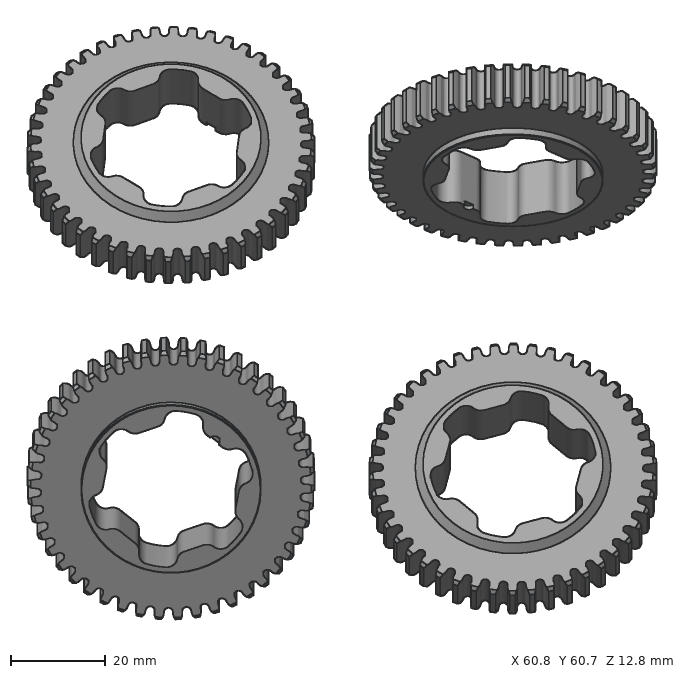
import cadquery as cq
import math

tooth_count = 46
outer_radius = 30.4
rim_thickness = 9.45
tooth_end_chamfer = 0.7
pressure_angle = math.radians(17.5)
dedendum_factor = 1.3
root_round = 0.9

module = 2 * outer_radius / (tooth_count + 2)
pitch_radius = module * tooth_count / 2
root_radius = pitch_radius - dedendum_factor * module
base_radius = pitch_radius * math.cos(pressure_angle)

hub_height = 1.65
hub_radius = 19.05
hub_edge_chamfer = 0.15
cone_base_radius = hub_radius + hub_height

groove_count = 6
hexagon_across_flats = 28.5
groove_radius = 17.7
groove_width = 8.2
groove_corner_fillet = 2.3
groove_mouth_fillet = 2.4

pocket_diameter = 2.3
pocket_depth = 1.0

rim_bottom = hub_height
rim_top = rim_bottom + rim_thickness
total_height = rim_top + hub_height


def involute_angle(radius):
    """Angle an involute has turned through between the base circle and a radius."""
    roll = math.acos(base_radius / radius)
    return math.tan(roll) - roll


def polar_point(radius, angle):
    """X and Y of the point at a radius and angle about the axis."""
    return radius * math.cos(angle), radius * math.sin(angle)


def make_tooth_gap():
    """Prism filling the space between two teeth, centred on the +X axis.

    The flanks are involute above the pitch circle and straight below it, down
    to a half circle at the root.
    """
    half_gap_angle = math.pi / (2 * tooth_count)
    root_centre = root_radius + root_round

    def flank_point(radius, side):
        angle = half_gap_angle + involute_angle(radius) - involute_angle(pitch_radius)
        return polar_point(radius, side * angle)

    beyond_tip_radius = outer_radius + module / 4
    middle_radius = (pitch_radius + beyond_tip_radius) / 2
    return (
        cq.Workplane("XY")
        .workplane(offset=rim_bottom)
        .moveTo(root_centre, -root_round)
        .lineTo(*flank_point(pitch_radius, -1))
        .threePointArc(flank_point(middle_radius, -1), flank_point(beyond_tip_radius, -1))
        .lineTo(*flank_point(beyond_tip_radius, 1))
        .threePointArc(flank_point(middle_radius, 1), flank_point(pitch_radius, 1))
        .lineTo(root_centre, root_round)
        .threePointArc((root_radius, 0), (root_centre, -root_round))
        .close()
        .extrude(rim_thickness)
    )


def make_rim():
    """Toothed rim, chamfered at both ends of the teeth."""
    rim = (
        cq.Workplane("XY")
        .workplane(offset=rim_bottom)
        .circle(outer_radius)
        .extrude(rim_thickness)
        .edges()
        .chamfer(tooth_end_chamfer)
    )
    gap = make_tooth_gap().val()
    pitch_angle = 360 / tooth_count
    gaps = [
        gap.rotate(cq.Vector(0, 0, 0), cq.Vector(0, 0, 1), (index + 0.5) * pitch_angle)
        for index in range(tooth_count)
    ]
    return rim.cut(cq.Compound.makeCompound(gaps))


def make_hubs():
    """Both hubs as one turned body running through the middle of the rim."""
    return (
        cq.Workplane("XZ")
        .polyline([
            (0, 0),
            (hub_radius - hub_edge_chamfer, 0),
            (hub_radius, hub_edge_chamfer),
            (hub_radius, rim_top),
            (cone_base_radius, rim_top),
            (hub_radius, total_height),
            (0, total_height),
        ])
        .close()
        .revolve(360, (0, 0, 0), (0, 1, 0))
    )


def make_bore():
    """Cutter for the bore, with grooves on the X axis and every 60 degrees from it."""
    corner_diameter = hexagon_across_flats / math.cos(math.pi / groove_count)
    bore = cq.Workplane("XY").polygon(groove_count, corner_diameter).extrude(total_height)
    groove_bar = cq.Workplane("XY").rect(2 * outer_radius, groove_width).extrude(total_height)
    groove_limit = cq.Workplane("XY").circle(groove_radius).extrude(total_height)
    groove_pair = groove_bar.intersect(groove_limit)
    for index in range(groove_count // 2):
        bore = bore.union(groove_pair.rotate((0, 0, 0), (0, 0, 1), index * 360 / groove_count))

    def is_groove_corner(edge):
        return math.hypot(edge.Center().x, edge.Center().y) > corner_diameter / 2

    upright_edges = bore.edges("|Z").vals()
    corners = [edge for edge in upright_edges if is_groove_corner(edge)]
    mouths = [edge for edge in upright_edges if not is_groove_corner(edge)]
    solid = bore.val().fillet(groove_mouth_fillet, mouths)
    return cq.Workplane(solid.fillet(groove_corner_fillet, corners))


def make_pocket():
    """Cutter for the round blind pocket in the bottom face."""
    return (
        cq.Workplane("XY")
        .center(0, hexagon_across_flats / 2)
        .circle(pocket_diameter / 2)
        .extrude(pocket_depth)
    )


result = make_rim().union(make_hubs()).cut(make_bore()).cut(make_pocket())